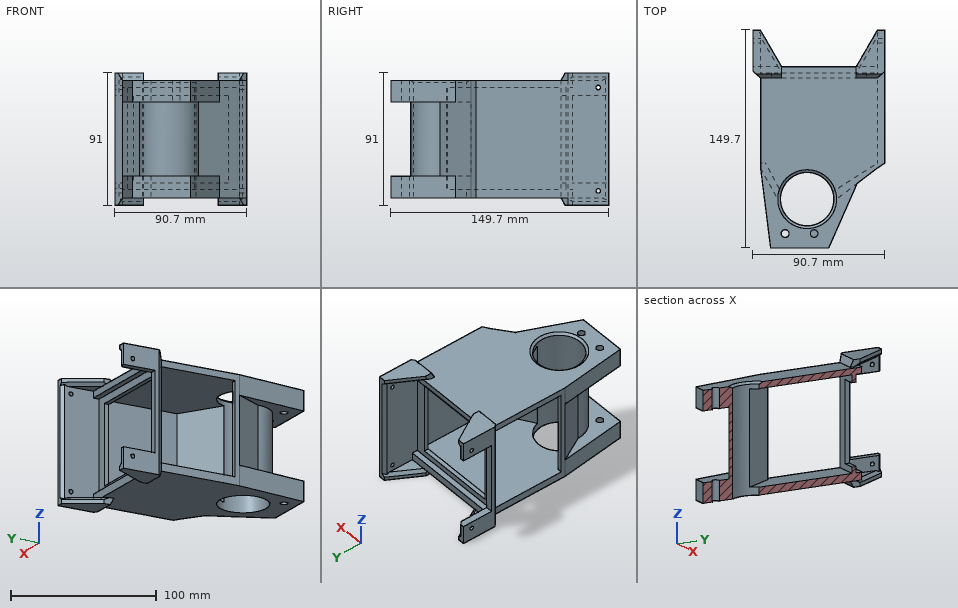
import cadquery as cq

WIDTH = 90.7
LENGTH = 149.7
HEIGHT = 91.0

SIDE_PLATE = 5.2
FLANGE = 5.1
WING_REACH = 19.8
WING_FRONT_Y = 116.8
FLANGE_RAMP_Y = 119.6
SIDE_RAMP_Y = 121.5
LEAD_IN = 2.2
LEG_GAP_HEIGHT = 59.9
SCREW_DIAMETER = 3.0
SCREW_Y = 142.4
SCREW_Z = 35.5

BOX_LEFT = SIDE_PLATE
BOX_RIGHT = WIDTH - SIDE_PLATE
BOX_TOP = HEIGHT / 2 - FLANGE
BOX_BOTTOM = -BOX_TOP
BOX_BACK_Y = 124.7
ROOF = 5.0
FLOOR = 6.0
WALL = 3.5
CAVITY_TOP = BOX_TOP - ROOF
CAVITY_BOTTOM = BOX_BOTTOM + FLOOR
CAVITY_FRONT_Y = 58.4
CAVITY_BACK_Y = WING_FRONT_Y
SHOULDER_Y = CAVITY_FRONT_Y - WALL
WINDOW_INSET = 7.5
WINDOW_HEIGHT = LEG_GAP_HEIGHT

BARREL_X = 37.3
BARREL_Y = 33.7
BARREL_RADIUS = 20.2
BORE_RADIUS = 18.3
BORE_CHAMFER_DEPTH = 1.5

ARM_THICKNESS = 15.0
ARM_FRONT_LEFT = 12.1
ARM_FRONT_RIGHT = 52.1
ELBOW_X = 71.7
ELBOW_Y = 44.5
PIN_DIAMETER = 5.2
PIN_Y = 10.0
THROUGH_PIN_X = 22.2
UPPER_PIN_X = 42.0

WALL_SLOPE = (SHOULDER_Y - ELBOW_Y) / (BOX_RIGHT - ELBOW_X)
BARREL_RIGHT = BARREL_X + BARREL_RADIUS
RIGHT_WALL_START_Y = ELBOW_Y - WALL_SLOPE * (ELBOW_X - BARREL_RIGHT)

INNER_LEFT = (20.7, 36.0)
INNER_RIGHT = (55.1, 38.9)


def prism(points, bottom, top):
    """Vertical prism over a closed XY outline."""
    return cq.Workplane("XY").workplane(offset=bottom).polyline(points).close().extrude(top - bottom)


def block(x_range, y_range, z_range):
    """Box spanning the given (low, high) ranges."""
    size = [high - low for low, high in (x_range, y_range, z_range)]
    corner = (x_range[0], y_range[0], z_range[0])
    return cq.Workplane("XY").box(*size, centered=False).translate(corner)


def post(x, y, radius, bottom, top):
    """Vertical cylinder."""
    return cq.Workplane("XY").workplane(offset=bottom).center(x, y).circle(radius).extrude(top - bottom)


def centered_range(height):
    return (-height / 2, height / 2)


def outer_body():
    """Solid box with tapering front walls, the barrel and both arms."""
    outline = [
        (BOX_LEFT, SHOULDER_Y),
        (BARREL_X - BARREL_RADIUS, BARREL_Y),
        (BARREL_X, BARREL_Y),
        (BARREL_RIGHT, RIGHT_WALL_START_Y),
        (BOX_RIGHT, SHOULDER_Y),
        (WIDTH, CAVITY_FRONT_Y),
        (WIDTH, BOX_BACK_Y),
        (BOX_LEFT, BOX_BACK_Y),
    ]
    arm_outline = [
        (ARM_FRONT_LEFT, 0),
        (ARM_FRONT_RIGHT, 0),
        (ELBOW_X, ELBOW_Y),
        (ELBOW_X, SHOULDER_Y),
        (BOX_LEFT, SHOULDER_Y),
    ]
    body = prism(outline, BOX_BOTTOM, BOX_TOP)
    body = body.union(post(BARREL_X, BARREL_Y, BARREL_RADIUS, BOX_BOTTOM, BOX_TOP))
    for bottom in (BOX_BOTTOM, BOX_TOP - ARM_THICKNESS):
        body = body.union(prism(arm_outline, bottom, bottom + ARM_THICKNESS))
    return body


def left_wing():
    """Wing on the low-X side, with ramped front edges and a chamfered mouth at the rear."""
    half_height = HEIGHT / 2
    outline = [
        (0, WING_FRONT_Y),
        (WING_REACH, WING_FRONT_Y),
        (WING_REACH, BOX_BACK_Y),
        (SIDE_PLATE, LENGTH),
        (0, LENGTH),
    ]
    wing = prism(outline, -half_height, half_height)

    side_ramp = [(0, WING_FRONT_Y), (SIDE_PLATE, WING_FRONT_Y), (0, SIDE_RAMP_Y)]
    wing = wing.cut(prism(side_ramp, -half_height, half_height))
    for side in (1, -1):
        flange_ramp = [
            (WING_FRONT_Y, side * BOX_TOP),
            (FLANGE_RAMP_Y, side * half_height),
            (WING_FRONT_Y, side * half_height),
        ]
        wing = wing.cut(cq.Workplane("YZ").polyline(flange_ramp).close().extrude(WING_REACH))

    wing = wing.cut(block((SIDE_PLATE, WING_REACH), (WING_FRONT_Y, LENGTH), (BOX_BOTTOM, BOX_TOP)))
    mouth_x = (SIDE_PLATE + WING_REACH) / 2
    mouth_y = (BOX_BACK_Y + LENGTH) / 2
    mouth_points = [(mouth_x, mouth_y, BOX_BOTTOM), (mouth_x, mouth_y, BOX_TOP), (SIDE_PLATE, LENGTH, 0)]
    for point in mouth_points:
        wing = wing.edges(cq.NearestToPointSelector(point)).chamfer(LEAD_IN)
    return wing


def box_cavity():
    """Room open on the low-X side and into the bore, with a window and a recess behind it."""
    outline = [
        (0, CAVITY_FRONT_Y),
        (BOX_LEFT + WALL, CAVITY_FRONT_Y),
        INNER_LEFT,
        (BARREL_X, BARREL_Y),
        INNER_RIGHT,
        (BOX_RIGHT, CAVITY_FRONT_Y),
        (BOX_RIGHT, CAVITY_BACK_Y),
        (0, CAVITY_BACK_Y),
    ]
    room = prism(outline, CAVITY_BOTTOM, CAVITY_TOP)
    window_x = (BOX_LEFT + WINDOW_INSET, BOX_RIGHT - WINDOW_INSET)
    window = block(window_x, (CAVITY_BACK_Y, BOX_BACK_Y), centered_range(WINDOW_HEIGHT))
    recess_y = (CAVITY_BACK_Y + WALL, BOX_BACK_Y)
    recess = block((BOX_LEFT, BOX_RIGHT), recess_y, (CAVITY_BOTTOM, CAVITY_TOP))
    return room.union(window).union(recess)


def bore():
    """Bore through the barrel with a chamfer at its top."""
    hole = post(BARREL_X, BARREL_Y, BORE_RADIUS, BOX_BOTTOM, BOX_TOP)
    cone = cq.Solid.makeCone(BORE_RADIUS, BARREL_RADIUS, BORE_CHAMFER_DEPTH)
    return hole.union(cq.Workplane(cone).translate((BARREL_X, BARREL_Y, BOX_TOP - BORE_CHAMFER_DEPTH)))


body = outer_body()
wing = left_wing()
right_wing = wing.mirror("YZ").translate((WIDTH, 0, 0))
leg_gap = block((0, SIDE_PLATE), (BOX_BACK_Y, LENGTH), centered_range(LEG_GAP_HEIGHT))
body = body.union(wing.cut(leg_gap)).union(right_wing)
body = body.cut(box_cavity()).cut(bore())

body = body.cut(post(THROUGH_PIN_X, PIN_Y, PIN_DIAMETER / 2, BOX_BOTTOM, BOX_TOP))
body = body.cut(post(UPPER_PIN_X, PIN_Y, PIN_DIAMETER / 2, BOX_TOP - ARM_THICKNESS, BOX_TOP))

for z in (-SCREW_Z, SCREW_Z):
    body = body.cut(cq.Workplane("YZ").center(SCREW_Y, z).circle(SCREW_DIAMETER / 2).extrude(WIDTH))

result = body